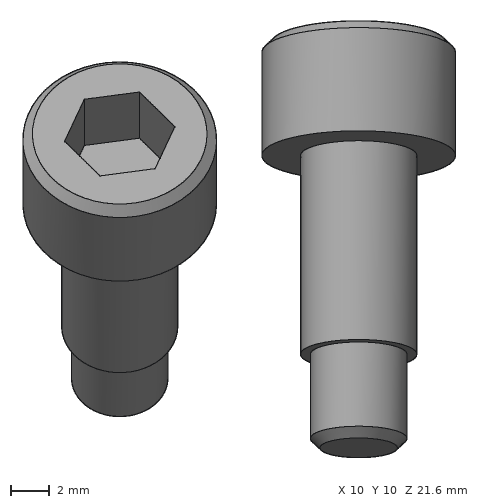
import cadquery as cq
import math

total_length = 21.6
head_diameter = 10.0
head_height = 6.0
shoulder_diameter = 6.0
tip_diameter = 5.0
tip_length = 5.0
edge_chamfer = 0.5
socket_across_flats = 5.0
socket_depth = 4.0

head_bottom = total_length - head_height
socket_bottom = total_length - socket_depth


def cylinder(diameter, bottom, top):
    """Solid cylinder on the Z axis between two heights."""
    return cq.Workplane("XY").workplane(offset=bottom).circle(diameter / 2).extrude(top - bottom)


tip = cylinder(tip_diameter, 0, tip_length).faces("<Z").edges().chamfer(edge_chamfer)

shoulder = cylinder(shoulder_diameter, tip_length, head_bottom)

head = cylinder(head_diameter, head_bottom, total_length).faces(">Z").edges().chamfer(edge_chamfer)

socket_across_corners = socket_across_flats / math.cos(math.pi / 6)
socket = (
    cq.Workplane("XY")
    .workplane(offset=socket_bottom)
    .polygon(6, socket_across_corners)
    .extrude(socket_depth)
)

result = tip.union(shoulder).union(head).cut(socket)